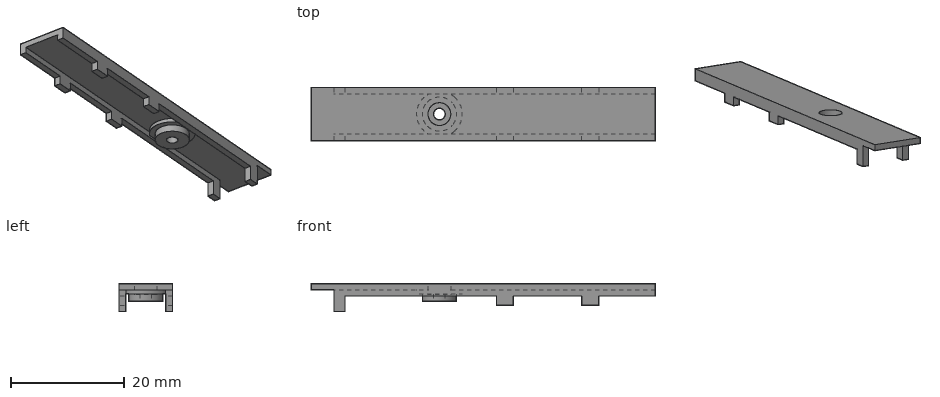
import cadquery as cq

length = 60.5
width = 9.4
plate_thickness = 1.1

rail_width = 1.2
rail_depth = 2.2
lip_length = 4.0

leg_length = 2.0
leg_depth = 4.9
lug_length = 3.0
lug_depth = 3.8
lug_pitch = 15.0
lug_count = 2

boss_x = 22.55
collar_diameter = 8.0
collar_depth = 1.8
boss_diameter = 6.0
boss_depth = 3.1
hole_diameter = 2.0
counterbore_diameter = 4.0
counterbore_depth = 1.9

boss_to_lug = 10.0
first_lug_x = boss_x + boss_to_lug


def block(x_start, x_length, y_centre, y_width, depth):
    """Box hanging down from the top face."""
    return (
        cq.Workplane("XY")
        .box(x_length, y_width, depth, centered=(False, True, False))
        .translate((x_start, y_centre, -depth))
    )


def round_bar(diameter, depth):
    """Vertical cylinder on the boss axis, hanging down from the top face."""
    return cq.Workplane("XY").center(boss_x, 0).circle(diameter / 2).extrude(-depth)


def side_rail(side):
    """Rail with its leg and lugs; side is +1 or -1 for the +Y or -Y edge."""
    y_centre = side * (width - rail_width) / 2
    rail = block(lip_length, length - lip_length, y_centre, rail_width, rail_depth)
    rail = rail.union(block(lip_length, leg_length, y_centre, rail_width, leg_depth))
    for index in range(lug_count):
        lug_x = first_lug_x + index * lug_pitch
        rail = rail.union(block(lug_x, lug_length, y_centre, rail_width, lug_depth))
    return rail


def screw_boss():
    """Wide shallow collar with the narrower boss below it."""
    return round_bar(collar_diameter, collar_depth).union(round_bar(boss_diameter, boss_depth))


def screw_hole():
    """Through hole with a counterbore from the top face."""
    return round_bar(hole_diameter, boss_depth).union(
        round_bar(counterbore_diameter, counterbore_depth)
    )


plate = block(0, length, 0, width, plate_thickness)
for edge_side in (1, -1):
    plate = plate.union(side_rail(edge_side))

result = plate.union(screw_boss()).cut(screw_hole())